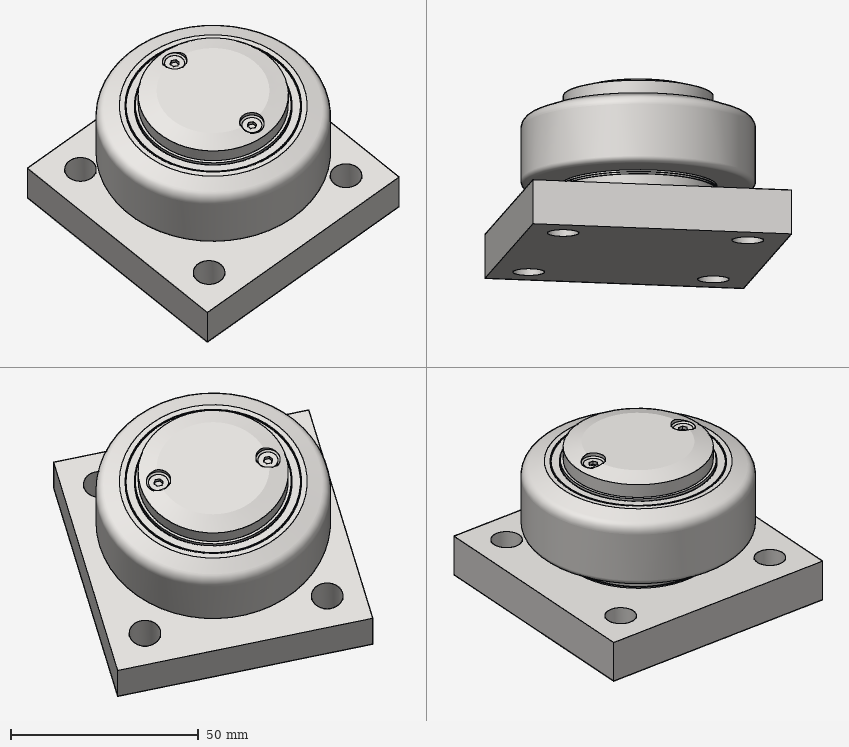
import cadquery as cq
import math

plate_side = 70.0
plate_height = 12.0
mount_hole_diameter = 8.4
mount_hole_spacing = 50.0

collar_radius = 42.1 / 2
collar_groove_radius = 41.5 / 2
collar_foot_top = 12.5
collar_body_top = 17.9
collar_groove_top = 18.5

roller_radius = 31.2
roller_bottom = 19.0
roller_top = 39.05
roller_face_radius = 25.0
roller_slope_angle = 20.0
roller_lower_fillet = 1.5
roller_upper_fillet = 3.0

seal_groove_radius = 47.0 / 2
seal_groove_width = 0.3
bore_radius = 42.0 / 2
face_groove_depth = 0.35

shoulder_radius = 41.5 / 2
shoulder_top = 39.6
cap_radius = 40.0 / 2
cap_rim_height = 43.55
cap_face_radius = 30.0 / 2
cap_top = 45.0

screw_spacing = 30.0
screw_recess_diameter = 6.5
screw_head_diameter = 5.3
screw_recess_wall_depth = 1.0
screw_recess_depth = 1.3
screw_socket_diameter = 2.5
screw_socket_depth = 1.0


def disc(radius, bottom, top):
    return cq.Workplane("XY").workplane(offset=bottom).circle(radius).extrude(top - bottom)


def ring_cut(outer_radius, inner_radius, depth):
    """Annular volume reaching down from the upper roller face."""
    bottom = roller_top - depth
    return disc(outer_radius, bottom, roller_top).cut(disc(inner_radius, bottom, roller_top))


def make_plate():
    plate = cq.Workplane("XY").rect(plate_side, plate_side).extrude(plate_height)
    holes = (
        cq.Workplane("XY")
        .rect(mount_hole_spacing, mount_hole_spacing, forConstruction=True)
        .vertices()
        .circle(mount_hole_diameter / 2)
        .extrude(plate_height)
    )
    return plate.cut(holes)


def make_collar():
    foot = disc(collar_groove_radius, plate_height, collar_foot_top)
    body = disc(collar_radius, collar_foot_top, collar_body_top)
    groove = disc(collar_groove_radius, collar_body_top, collar_groove_top)
    neck = disc(collar_radius, collar_groove_top, roller_bottom)
    return foot.union(body).union(groove).union(neck)


def make_roller():
    """Revolved roller whose upper round runs tangent from the side into the sloping shoulder."""
    slope = math.radians(roller_slope_angle)
    slope_drop = (roller_radius - roller_face_radius) * math.tan(slope)
    sharp_corner_height = roller_top - slope_drop
    tangent_length = roller_upper_fillet * math.tan((math.pi / 2 - slope) / 2)
    round_center_radius = roller_radius - roller_upper_fillet
    round_bottom = sharp_corner_height - tangent_length

    def round_point(angle):
        return (
            round_center_radius + roller_upper_fillet * math.cos(angle),
            round_bottom + roller_upper_fillet * math.sin(angle),
        )

    round_end_angle = math.pi / 2 - slope
    lower_round_offset = roller_lower_fillet * (1 - math.sqrt(0.5))
    roller = (
        cq.Workplane("XZ")
        .moveTo(0, roller_bottom)
        .lineTo(roller_radius - roller_lower_fillet, roller_bottom)
        .threePointArc(
            (roller_radius - lower_round_offset, roller_bottom + lower_round_offset),
            (roller_radius, roller_bottom + roller_lower_fillet),
        )
        .lineTo(roller_radius, round_bottom)
        .threePointArc(round_point(round_end_angle / 2), round_point(round_end_angle))
        .lineTo(roller_face_radius, roller_top)
        .lineTo(0, roller_top)
        .close()
        .revolve(360, (0, 0), (0, 1))
    )
    seal_groove = ring_cut(seal_groove_radius, seal_groove_radius - seal_groove_width, face_groove_depth)
    bore_groove = ring_cut(bore_radius, shoulder_radius, face_groove_depth)
    return roller.cut(seal_groove).cut(bore_groove)


def make_cap():
    return (
        cq.Workplane("XZ")
        .moveTo(0, roller_top)
        .lineTo(shoulder_radius, roller_top)
        .lineTo(shoulder_radius, shoulder_top)
        .lineTo(cap_radius, shoulder_top)
        .lineTo(cap_radius, cap_rim_height)
        .lineTo(cap_face_radius, cap_top)
        .lineTo(0, cap_top)
        .close()
        .revolve(360, (0, 0), (0, 1))
    )


def make_screw_recess(x):
    """Round recess tapering to the screw head, with a hexagonal socket in the head."""
    wall_bottom = cap_top - screw_recess_wall_depth
    wall = disc(screw_recess_diameter / 2, wall_bottom, cap_top).translate((x, 0, 0))
    taper = (
        cq.Workplane("XY", origin=(x, 0, wall_bottom))
        .circle(screw_recess_diameter / 2)
        .workplane(offset=screw_recess_wall_depth - screw_recess_depth)
        .circle(screw_head_diameter / 2)
        .loft()
    )
    socket = (
        cq.Workplane("XY", origin=(x, 0, cap_top - screw_recess_depth))
        .polygon(6, screw_socket_diameter)
        .extrude(-screw_socket_depth)
    )
    return wall.union(taper).union(socket)


result = make_plate().union(make_collar()).union(make_roller()).union(make_cap())
for side in (-1, 1):
    result = result.cut(make_screw_recess(side * screw_spacing / 2))